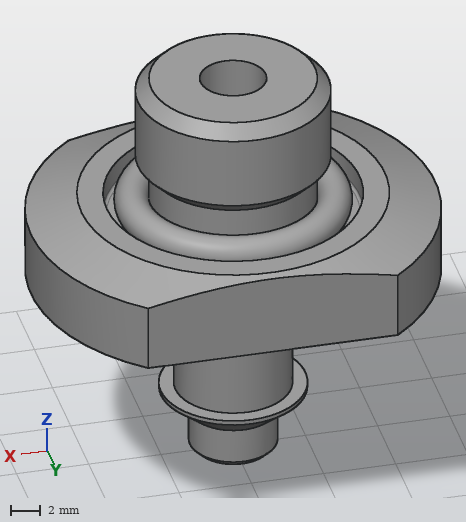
import cadquery as cq

total_height = 29.0
bore_diameter = 4.5

tip_diameter = 6.0
tip_chamfer = 0.5
tip_top_z = 3.0
barb_diameter = 10.0
barb_rim_z = 4.67
barb_top_z = 5.0
stem_diameter = 8.0

flange_diameter = 27.98
flange_bottom_z = 14.0
flange_top_z = 19.95
flange_top_diameter = 21.0
flange_bevel_height = 1.22
across_flats = 22.0

boss_diameter = 13.17
boss_bottom_z = 23.0
neck_diameter = 11.3

groove_diameter = 17.5
groove_fillet = 0.2
ring_section_diameter = 2.35
ring_top_z = 20.62

boss_chamfer = (boss_diameter - neck_diameter) / 2
groove_floor_z = ring_top_z - ring_section_diameter
ring_center_radius = (neck_diameter + ring_section_diameter) / 2
ring_center_z = ring_top_z - ring_section_diameter / 2


def make_turned_blank():
    """Outer shape of the fitting, revolved about Z, before the flats, groove and bore."""
    tip_radius = tip_diameter / 2
    neck_radius = neck_diameter / 2
    boss_radius = boss_diameter / 2
    profile = [
        (0, 0),
        (tip_radius - tip_chamfer, 0),
        (tip_radius, tip_chamfer),
        (tip_radius, tip_top_z),
        (barb_diameter / 2, barb_rim_z),
        (barb_diameter / 2, barb_top_z),
        (stem_diameter / 2, barb_top_z),
        (stem_diameter / 2, flange_bottom_z),
        (flange_diameter / 2, flange_bottom_z),
        (flange_diameter / 2, flange_top_z - flange_bevel_height),
        (flange_top_diameter / 2, flange_top_z),
        (neck_radius, flange_top_z),
        (neck_radius, boss_bottom_z - boss_chamfer),
        (boss_radius, boss_bottom_z),
        (boss_radius, total_height - boss_chamfer),
        (boss_radius - boss_chamfer, total_height),
        (0, total_height),
    ]
    return cq.Workplane("XZ").polyline(profile).close().revolve(360, (0, 0), (0, 1))


def make_groove():
    """Annular cutter for the ring groove, rounded at the outer edge of its floor."""
    groove_depth = flange_top_z - groove_floor_z
    disc = cq.Workplane("XY").workplane(offset=groove_floor_z).circle(groove_diameter / 2).extrude(groove_depth)
    core = cq.Workplane("XY").workplane(offset=groove_floor_z).circle(neck_diameter / 2).extrude(groove_depth)
    return disc.faces("<Z").edges().fillet(groove_fillet).cut(core)


def make_fitting():
    """Turned fitting with two wrench flats facing -Y and +Y."""
    flats_envelope = cq.Workplane("XY").rect(flange_diameter, across_flats).extrude(total_height)
    bore = cq.Workplane("XY").circle(bore_diameter / 2).extrude(total_height)
    return make_turned_blank().intersect(flats_envelope).cut(make_groove()).cut(bore).solids()


def make_sealing_ring():
    """Round-section ring that fits around the neck and rests on the groove floor."""
    section = cq.Workplane("XZ").center(ring_center_radius, ring_center_z).circle(ring_section_diameter / 2)
    return section.revolve(360, (-ring_center_radius, 0), (-ring_center_radius, 1))


fitting = make_fitting()
sealing_ring = make_sealing_ring()
result = cq.Compound.makeCompound([fitting.val(), sealing_ring.val()])